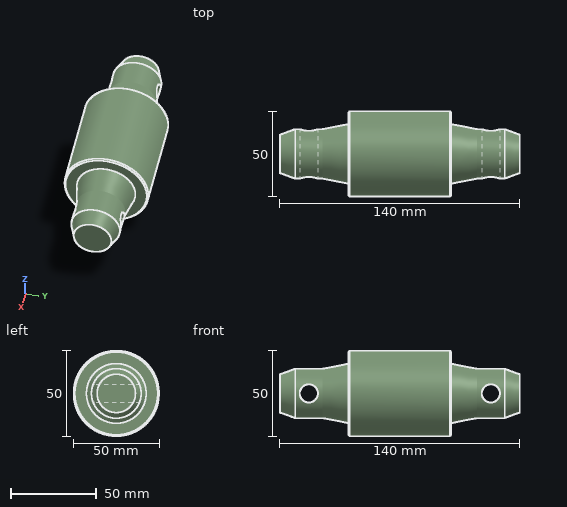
import cadquery as cq

total_length = 140.0
body_length = 60.0
body_diameter = 50.0
body_chamfer = 0.8

shoulder_diameter = 34.9
stub_diameter = 29.0
stub_length = 16.0
tip_diameter = 22.4
tip_length = 9.0

hole_diameter = 10.5
hole_inset = 17.0

half_length = total_length / 2
half_body = body_length / 2
tip_start = half_length - tip_length
stub_start = tip_start - stub_length


def make_shaft():
    """Revolve the whole turned outline about the X axis."""
    right_corners = [
        (half_body - body_chamfer, body_diameter / 2),
        (half_body, body_diameter / 2 - body_chamfer),
        (half_body, shoulder_diameter / 2),
        (stub_start, stub_diameter / 2),
        (tip_start, stub_diameter / 2),
        (half_length, tip_diameter / 2),
        (half_length, 0),
    ]
    left_corners = [(-x, radius) for x, radius in reversed(right_corners)]
    outline = [(x, -radius) for x, radius in left_corners + right_corners]
    return cq.Workplane("XY").polyline(outline).close().revolve(360, (0, 0, 0), (1, 0, 0))


def make_cross_holes():
    hole_x = half_length - hole_inset
    return (
        cq.Workplane("XZ")
        .pushPoints([(-hole_x, 0), (hole_x, 0)])
        .circle(hole_diameter / 2)
        .extrude(stub_diameter, both=True)
    )


result = make_shaft().cut(make_cross_holes())